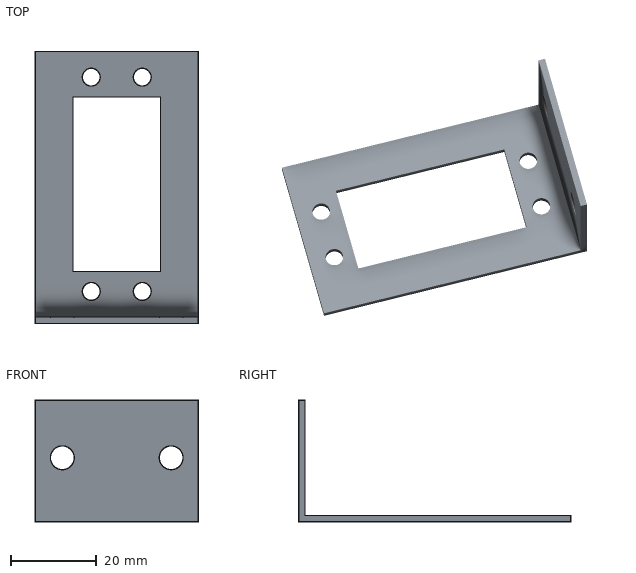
import cadquery as cq

width = 38.1
length = 63.5
height = 28.38
thickness = 1.524

window_width = 20.32
window_length = 40.64
base_hole_diameter = 4.1
base_hole_spacing_x = 11.9
base_hole_spacing_y = 50.0

flange_hole_diameter = 5.5
flange_hole_spacing = 25.4

base_center_y = (thickness + length) / 2
flange_center_z = (thickness + height) / 2


def angle_body():
    """L-shaped sheet: base in XY, upright flange along the Y = 0 edge."""
    base = cq.Workplane("XY").box(width, length, thickness, centered=(True, False, False))
    flange = cq.Workplane("XY").box(width, thickness, height, centered=(True, False, False))
    return base.union(flange)


def base_cutter():
    """Rectangular window plus four screw holes through the base."""
    plane = cq.Workplane("XY").center(0, base_center_y)
    window = plane.rect(window_width, window_length).extrude(thickness)
    holes = (
        plane.rarray(base_hole_spacing_x, base_hole_spacing_y, 2, 2)
        .circle(base_hole_diameter / 2)
        .extrude(thickness)
    )
    return window.union(holes)


def flange_cutter():
    """Pair of mounting holes through the upright flange."""
    return (
        cq.Workplane("XZ")
        .center(0, flange_center_z)
        .rarray(flange_hole_spacing, 1, 2, 1)
        .circle(flange_hole_diameter / 2)
        .extrude(-thickness)
    )


result = angle_body().cut(base_cutter()).cut(flange_cutter())